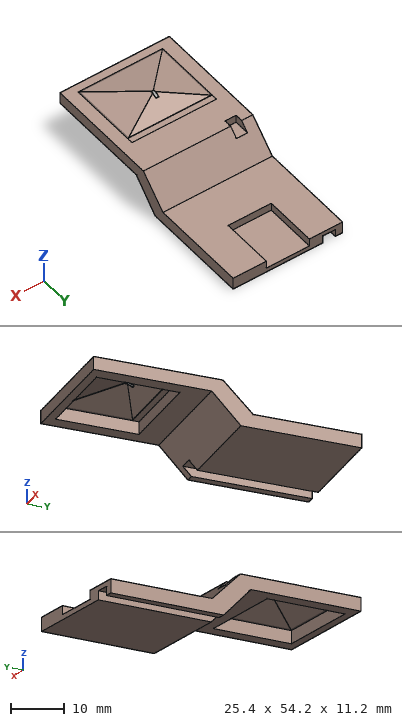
import cadquery as cq

width = 25.4
length = 54.25
low_thickness = 2.8
high_thickness = 2.7
high_underside = 6.1
high_top = high_underside + high_thickness
top_bend_low = 32.25
top_bend_high = 26.15
under_bend_low = 29.75
under_bend_high = 23.85
center_x = width / 2

pyramid_width = 19.25
pyramid_front = 1.95
pyramid_rear = 17.3
total_height = 11.2
pyramid_height = total_height - high_top
apex_y = 12.05
tip_half = 0.25
wall = 0.1
opening_margin = 0.15
opening_rear = 18.65

slot_width = 0.65
slot_front = 11.9
slot_rear = 13.4

recess_depth = 1.8

pocket_width = 10.0
pocket_length = 11.95
pocket_floor = low_thickness - recess_depth

groove_left = 1.7
groove_right = 4.55

well_left = 2.6
well_right = 5.15
well_front = 24.4
well_floor = high_top - recess_depth


def rectangle(x0, x1, y0, y1, z):
    corners = [(x0, y0, z), (x1, y0, z), (x1, y1, z), (x0, y1, z)]
    return cq.Wire.makePolygon([cq.Vector(*corner) for corner in corners], close=True)


def box(x0, x1, y0, y1, z0, z1):
    block = cq.Workplane("XY").box(x1 - x0, y1 - y0, z1 - z0, centered=False)
    return block.translate((x0, y0, z0))


def centered_box(box_width, y0, y1, z0, z1):
    return box(center_x - box_width / 2, center_x + box_width / 2, y0, y1, z0, z1)


def stepped_plate():
    profile = [
        (0, high_underside),
        (0, high_top),
        (top_bend_high, high_top),
        (top_bend_low, low_thickness),
        (length, low_thickness),
        (length, 0),
        (under_bend_low, 0),
        (under_bend_high, high_underside),
    ]
    return cq.Workplane("YZ").polyline(profile).close().extrude(width)


def pyramid(base_z):
    half_width = pyramid_width / 2
    base = rectangle(center_x - half_width, center_x + half_width, pyramid_front, pyramid_rear, base_z)
    tip = rectangle(center_x - tip_half, center_x + tip_half, apex_y - tip_half, apex_y + tip_half,
                    base_z + pyramid_height)
    return cq.Workplane(cq.Solid.makeLoft([base, tip], True))


def pyramid_hollow():
    ceiling = high_top - wall
    opening = centered_box(pyramid_width + 2 * opening_margin, pyramid_front - opening_margin,
                           opening_rear, high_underside, ceiling)
    slot = centered_box(slot_width, slot_front, slot_rear, high_underside, total_height)
    return opening.union(pyramid(ceiling)).union(slot)


pocket = centered_box(pocket_width, length - pocket_length, length, pocket_floor, low_thickness)
groove = box(groove_left, groove_right, under_bend_high, length, 0, recess_depth)
well = box(well_left, well_right, well_front, top_bend_low, well_floor, high_top)

result = (
    stepped_plate()
    .union(pyramid(high_top))
    .cut(pyramid_hollow())
    .cut(pocket)
    .cut(groove)
    .cut(well)
)